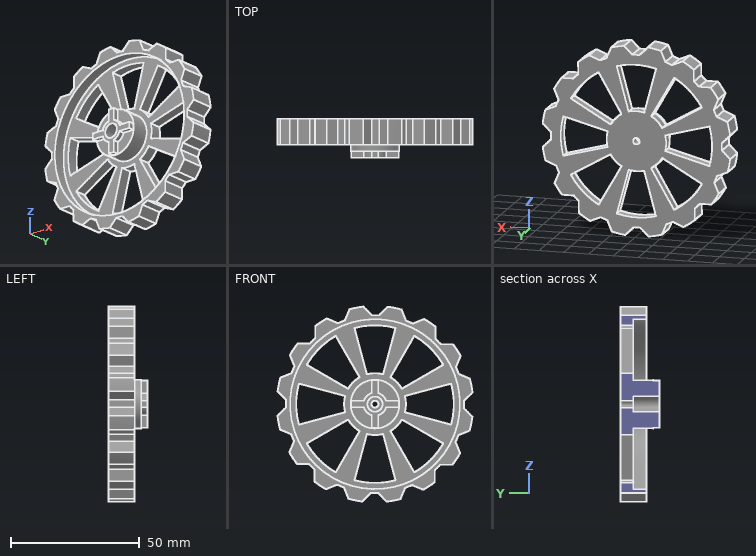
import cadquery as cq
import math

wheel_size = 75.7
root_radius = 34.5
tooth_count = 16
notch_floor_width = 2.9
notch_flank_angle = 45
notch_turn = 0.3

rim_width = 10.2
rim_inner_radius = 32.9
web_thickness = 5.1

window_count = 8
window_inner_radius = 12.0
window_outer_radius = 30.5
window_angle = 30

hub_radius = 9.5
hub_projection = 2.5

coupling_height = 2.5
collar_radius = 4.5
arm_width = 2.6
arm_length = 9.2

bore_radius = 1.3
counterbore_radius = 2.95

hub_height = rim_width + hub_projection
total_width = hub_height + coupling_height

half_floor = notch_floor_width / 2
flank_slope = math.tan(math.radians(notch_flank_angle))
turn_sin = math.sin(math.radians(notch_turn))
turn_cos = math.cos(math.radians(notch_turn))
corner_offset_at_axis = half_floor - root_radius * flank_slope
corner_z = (wheel_size / 2 - corner_offset_at_axis * turn_sin) / (turn_cos + flank_slope * turn_sin)
corner_x = corner_offset_at_axis + flank_slope * corner_z
tip_radius = math.hypot(corner_x, corner_z)


def disc(radius, start, end):
    """Cylinder on the axis between two distances from the back face."""
    return cq.Workplane("XZ").workplane(offset=start).circle(radius).extrude(end - start)


def turned(shape, angle):
    """Copy of a shape turned about the wheel axis."""
    return shape.rotate((0, 0, 0), (0, 1, 0), angle)


def notch():
    """Trapezoidal gap between two teeth, at the top of the wheel."""
    mouth_half_width = half_floor + (tip_radius - root_radius) * flank_slope
    outline = [
        (-half_floor, root_radius),
        (half_floor, root_radius),
        (mouth_half_width, tip_radius),
        (-mouth_half_width, tip_radius),
    ]
    return cq.Workplane("XZ").polyline(outline).close().extrude(rim_width)


def at(radius, angle):
    """Point at a radius and an angle in degrees clockwise from the top."""
    turn = math.radians(angle)
    return (radius * math.sin(turn), radius * math.cos(turn))


def window():
    """Sector-shaped opening between two spokes, at the top of the wheel."""
    half = window_angle / 2
    return (
        cq.Workplane("XZ")
        .moveTo(*at(window_inner_radius, -half))
        .threePointArc(at(window_inner_radius, 0), at(window_inner_radius, half))
        .lineTo(*at(window_outer_radius, half))
        .threePointArc(at(window_outer_radius, 0), at(window_outer_radius, -half))
        .close()
        .extrude(rim_width)
    )


wheel = disc(tip_radius, 0, rim_width)
wheel = wheel.cut(disc(rim_inner_radius, web_thickness, rim_width))
for i in range(tooth_count):
    wheel = wheel.cut(turned(notch(), notch_turn + i * 360 / tooth_count))
for i in range(window_count):
    wheel = wheel.cut(turned(window(), i * 360 / window_count))

wheel = wheel.union(disc(hub_radius, 0, hub_height))

arm_pair = (
    cq.Workplane("XZ")
    .workplane(offset=hub_height)
    .rect(2 * arm_length, arm_width)
    .extrude(coupling_height)
)
wheel = wheel.union(arm_pair).union(turned(arm_pair, 90))
wheel = wheel.union(disc(collar_radius, hub_height, total_width))

wheel = wheel.cut(disc(bore_radius, 0, total_width))
wheel = wheel.cut(disc(counterbore_radius, web_thickness, total_width))

result = wheel